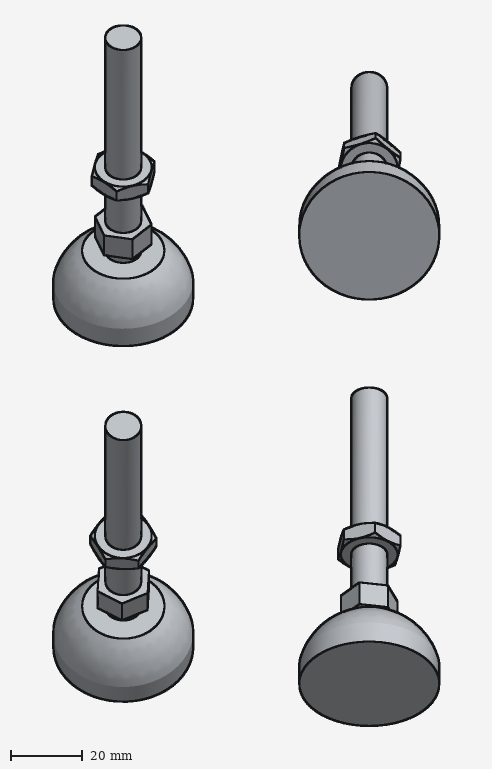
import cadquery as cq
import math

foot_diameter = 39.0
rim_height = 6.6
foot_height = 18.2
foot_top_diameter = 22.9
dome_radius = 20.0

overall_height = 99.5
rod_diameter = 10.0
collar_flats = 13.9
collar_height = 7.6
collar_gap = 3.9

nut_flats = 16.0
nut_height = 5.0
nut_bottom = 45.1
nut_face_diameter = 15.8
nut_chamfer_angle = 30

HEX_CORNER_RATIO = 1 / math.cos(math.radians(30))


def hexagon_prism(across_flats, height, bottom):
    """Hexagonal prism on the Z axis, with two corners on the X axis."""
    across_corners = across_flats * HEX_CORNER_RATIO
    return cq.Workplane("XY").workplane(offset=bottom).polygon(6, across_corners).extrude(height)


def make_foot():
    profile = (
        cq.Workplane("XZ")
        .lineTo(foot_diameter / 2, 0)
        .lineTo(foot_diameter / 2, rim_height)
        .radiusArc((foot_top_diameter / 2, foot_height), -dome_radius)
        .lineTo(0, foot_height)
        .close()
    )
    return profile.revolve(360, (0, 0, 0), (0, 1, 0))


def make_spindle():
    rod = (
        cq.Workplane("XY").workplane(offset=foot_height)
        .circle(rod_diameter / 2)
        .extrude(overall_height - foot_height)
    )
    collar = hexagon_prism(collar_flats, collar_height, foot_height + collar_gap)
    collar = collar.rotate((0, 0, 0), (0, 0, 1), 90)
    return rod.union(collar)


def make_nut():
    blank = hexagon_prism(nut_flats, nut_height, nut_bottom)
    face_radius = nut_face_diameter / 2
    corner_radius = nut_flats * HEX_CORNER_RATIO / 2
    chamfer_height = (corner_radius - face_radius) * math.tan(math.radians(nut_chamfer_angle))
    nut_top = nut_bottom + nut_height
    envelope = (
        cq.Workplane("XZ")
        .moveTo(0, nut_bottom)
        .lineTo(face_radius, nut_bottom)
        .lineTo(corner_radius, nut_bottom + chamfer_height)
        .lineTo(corner_radius, nut_top - chamfer_height)
        .lineTo(face_radius, nut_top)
        .lineTo(0, nut_top)
        .close()
        .revolve(360, (0, 0, 0), (0, 1, 0))
    )
    bore = (
        cq.Workplane("XY").workplane(offset=nut_bottom)
        .circle(rod_diameter / 2)
        .extrude(nut_height)
    )
    return blank.intersect(envelope).cut(bore)


foot = make_foot()
spindle = make_spindle()
nut = make_nut()

result = cq.Compound.makeCompound([foot.val(), spindle.val(), nut.val()])